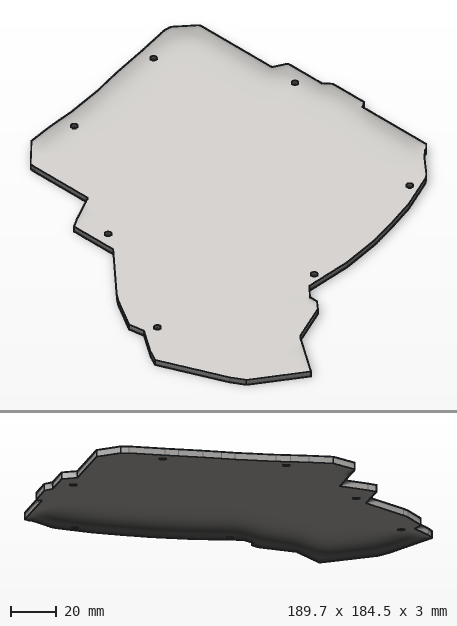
import cadquery as cq

length = 189.7
depth = 184.5
thickness = 3.0

hole_diameter = 3.0

wing_top = 175.5
main_top = 181.7
wing_bottom = 59.7
step_bottom = 42.0


top_edge = [
    (9.7, wing_top),
    (51.0, wing_top),
    (55.0, main_top),
    (74.4, main_top),
    (78.1, depth),
    (96.2, depth),
    (97.7, main_top),
    (134.3, main_top),
]

right_edge = [
    (136.2, 179.5),
    (136.5, 178.0),
    (138.7, 175.3),
    (146.6, 167.3),
    (148.1, 164.8),
    (153.0, 148.0),
    (155.2, 134.3),
    (156.7, 120.6),
    (156.7, 102.0),
    (153.8, 79.7),
]

arm_edge = [
    (158.8, 74.4),
    (162.7, 74.4),
    (166.2, 71.0),
    (171.5, 52.5),
    (length, 38.5),
    (171.7, 16.1),
    (164.8, 12.5),
    (133.0, 0.0),
    (127.8, 2.8),
    (117.2, 11.0),
    (109.6, 9.9),
    (96.0, 18.5),
    (93.0, 21.2),
]

bottom_edge = [
    (73.5, step_bottom),
    (50.8, step_bottom),
    (48.7, 46.3),
    (43.6, wing_bottom),
    (13.3, wing_bottom),
    (10.6, 60.0),
]

left_edge = [
    (1.3, 71.5),
    (1.5, 82.5),
    (2.0, 90.7),
    (2.7, 97.0),
    (2.7, 115.3),
    (2.0, 121.4),
    (1.5, 129.7),
    (1.1, 140.7),
    (1.0, 146.8),
    (0.0, 163.1),
    (0.8, 166.5),
]

hole_centers = [
    (65.2, 174.3),
    (145.9, 156.9),
    (8.0, 146.2),
    (9.5, 90.9),
    (150.6, 86.7),
    (65.2, 48.0),
    (120.3, 16.5),
]

outline = top_edge + right_edge + arm_edge + bottom_edge + left_edge
plate = cq.Workplane("XY").polyline(outline).close().extrude(thickness)
holes = cq.Workplane("XY").pushPoints(hole_centers).circle(hole_diameter / 2).extrude(thickness)

result = plate.cut(holes)